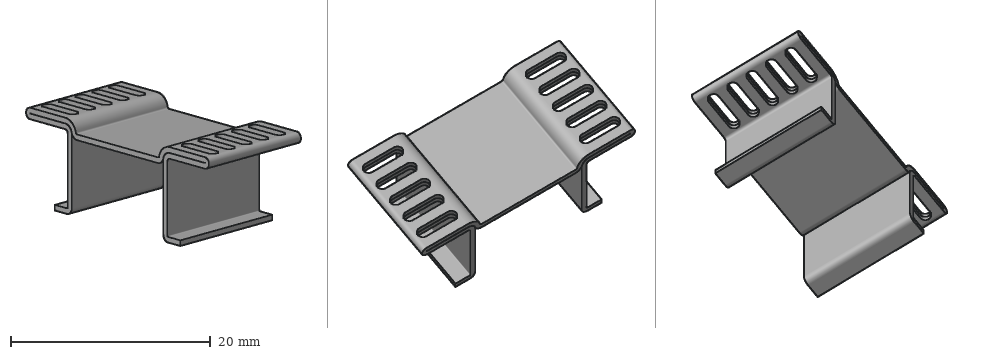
import cadquery as cq
import math

length = 26.0
width = 13.0
height = 10.0

sheet = 0.6
fold_gap = 0.013
bend_radius = 0.35
reverse_radius = 0.2
web_drop = 1.4
leg_spacing = 13.0
foot_radius = 0.1
foot_length = 2.42

slot_count = 5
slot_pitch = 2.37
slot_width = 1.2
slot_length = 4.68
slot_inset = 0.73

fold_height = 2 * sheet + fold_gap
fold_radius = fold_height / 2
fold_x = -length / 2 + fold_radius
fold_z = height - fold_radius
lower_layer_bottom = height - fold_height
lower_layer_top = lower_layer_bottom + sheet
upper_layer_bottom = height - sheet

leg_bend_radius = bend_radius + sheet
step_inner_radius = leg_bend_radius + fold_gap
step_outer_radius = step_inner_radius + sheet
leg_inner_x = -leg_spacing / 2
leg_outer_x = leg_inner_x - sheet
bend_x = leg_inner_x - leg_bend_radius
bend_z = height - step_outer_radius

web_top = height - web_drop
web_bottom = web_top - sheet
reverse_z = web_top + reverse_radius
center_distance = step_outer_radius + reverse_radius
tangent_angle = math.degrees(math.asin((reverse_z - bend_z) / center_distance))
reverse_x = bend_x + center_distance * math.cos(math.radians(tangent_angle))
reverse_angle = 180 + tangent_angle

foot_bend_x = leg_outer_x - foot_radius
foot_bend_z = sheet + foot_radius
foot_tip_x = leg_inner_x - foot_length


def arc_to(outline, center, radius, start_angle, end_angle):
    """Continue an outline along a circular arc, with the angles in degrees."""
    points = []
    for angle in ((start_angle + end_angle) / 2, end_angle):
        turn = math.radians(angle)
        points.append((center[0] + radius * math.cos(turn), center[1] + radius * math.sin(turn)))
    return outline.threePointArc(*points)


def make_left_half():
    """Extrude the folded sheet from the middle of the web to the left wing tip."""
    bend = (bend_x, bend_z)
    reverse = (reverse_x, reverse_z)
    fold = (fold_x, fold_z)
    foot_bend = (foot_bend_x, foot_bend_z)

    outline = cq.Workplane("XZ").moveTo(0, web_top).lineTo(reverse_x, web_top)
    outline = arc_to(outline, reverse, reverse_radius, 270, reverse_angle)
    outline = arc_to(outline, bend, step_outer_radius, tangent_angle, 90)
    outline = outline.lineTo(fold_x, height)
    outline = arc_to(outline, fold, fold_radius, 90, 270)

    outline = outline.lineTo(bend_x, lower_layer_bottom)
    outline = arc_to(outline, bend, bend_radius, 90, 0)
    outline = outline.lineTo(leg_outer_x, foot_bend_z)
    outline = arc_to(outline, foot_bend, foot_radius, 0, -90)
    outline = outline.lineTo(foot_tip_x, sheet).lineTo(foot_tip_x, 0).lineTo(foot_bend_x, 0)
    outline = arc_to(outline, foot_bend, foot_radius + sheet, -90, 0)

    outline = outline.lineTo(leg_inner_x, bend_z)
    outline = arc_to(outline, bend, leg_bend_radius, 0, 90)
    outline = outline.lineTo(fold_x, lower_layer_top)
    outline = arc_to(outline, fold, fold_gap / 2, 270, 90)
    outline = outline.lineTo(bend_x, upper_layer_bottom)
    outline = arc_to(outline, bend, step_inner_radius, 90, tangent_angle)
    outline = arc_to(outline, reverse, reverse_radius + sheet, reverse_angle, 270)
    outline = outline.lineTo(0, web_bottom).close()
    return outline.extrude(width / 2, both=True)


def make_left_slots():
    """Row of rounded slots that passes through both layers of the left wing."""
    slot_x = -length / 2 + slot_inset + slot_length / 2
    return (
        cq.Workplane("XY", origin=(slot_x, 0, lower_layer_bottom))
        .rarray(0.25, slot_pitch, 1, slot_count)
        .slot2D(slot_length, slot_width)
        .extrude(fold_height)
    )


left_half = make_left_half().cut(make_left_slots())
result = left_half.union(left_half.mirror("YZ")).clean()